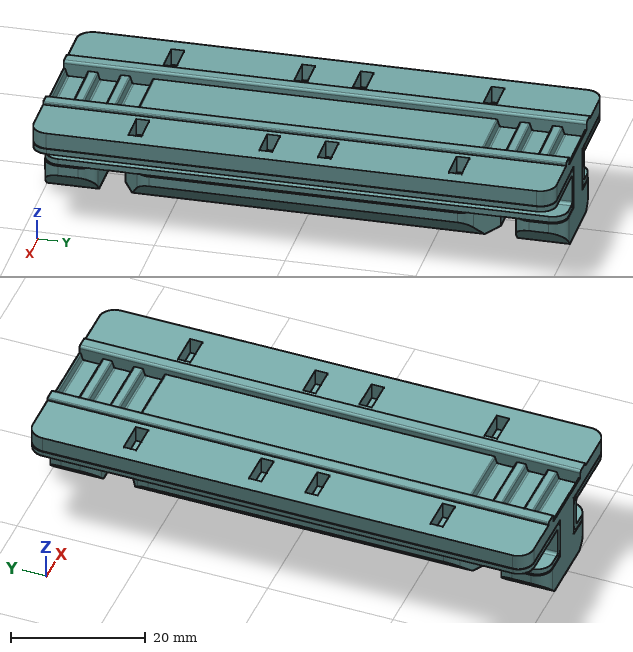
import cadquery as cq
import math

length = 80.0
plate_width = 32.0
total_height = 15.0
corner_radius = 2.5

foot_top = 5.0
plate_bottom = 11.9
plate_top = 14.6
channel_floor = 13.8

rail_outer = 7.5
rail_inner = 5.4
rail_outer_round = 0.2
rail_inner_round = 0.4

groove_count = 3
groove_pitch = 5.0
groove_width = 3.5
groove_depth = 1.2
groove_wall_angle = 73.0
groove_round = 0.2
groove_inset = 0.2

slot_length = 5.0
slot_width = 2.0
slot_x = 11.0
slot_rows = (4.5, 24.5)

web_half = 2.8
foot_half = 8.5
foot_chamfer = 3.4
end_block_length = 8.0
nose_tip = 28.7
nose_half = 2.1
nose_angle = 60.0

liner_wall = 1.0
liner_inner_round = 0.5
liner_inset = 0.2
liner_foot_gap = 0.2


def plate():
    """Flat plate with rounded plan corners."""
    return (
        cq.Workplane("XY", origin=(0, 0, plate_bottom))
        .rect(plate_width, length)
        .extrude(plate_top - plate_bottom)
        .edges("|Z")
        .fillet(corner_radius)
    )


def rail(side):
    """Raised rail with rounded top edges; side is +1 or -1 in X."""
    width = rail_outer - rail_inner
    height = total_height - channel_floor
    bar = cq.Workplane("XY").box(width, length, height, centered=(True, True, False))
    bar = bar.edges("|Y and >Z and >X").fillet(rail_outer_round)
    bar = bar.edges("|Y and >Z and <X").fillet(rail_inner_round)
    bar = bar.translate(((rail_outer + rail_inner) / 2, 0, channel_floor))
    return bar if side > 0 else bar.mirror("YZ")


def channel():
    """Cutter that opens the space between the rails through the plate."""
    return (
        cq.Workplane("XY", origin=(0, 0, plate_bottom))
        .rect(2 * rail_inner, length)
        .extrude(total_height - plate_bottom)
    )


def grip_groove(y_centre):
    """Cutter for one groove with sloping walls across the channel floor."""
    wall_run = groove_depth / math.tan(math.radians(groove_wall_angle))
    half_top = groove_width / 2
    half_bottom = half_top - wall_run
    bottom = channel_floor - groove_depth
    return (
        cq.Workplane("YZ")
        .polyline([
            (y_centre - half_top, channel_floor),
            (y_centre - half_bottom, bottom),
            (y_centre + half_bottom, bottom),
            (y_centre + half_top, channel_floor),
        ])
        .close()
        .extrude(rail_inner, both=True)
    )


def channel_base():
    """Floor of the channel with the rounded grip grooves across both ends."""
    blank_length = length + 2 * groove_pitch
    base = (
        cq.Workplane("XY", origin=(0, 0, plate_bottom))
        .rect(2 * rail_inner, blank_length)
        .extrude(channel_floor - plate_bottom)
    )
    outermost_y = (length - groove_width) / 2 - groove_inset
    for end in (-1, 1):
        for index in range(groove_count):
            base = base.cut(grip_groove(end * (outermost_y - index * groove_pitch)))
    within_length = cq.selectors.BoxSelector(
        (-rail_inner, -length / 2, 0),
        (rail_inner, length / 2, total_height),
    )
    base = base.edges("|X").edges(within_length).fillet(groove_round)
    return base.intersect(channel())


def slots():
    """Cutters for the marker slots, four on each side."""
    rows = [sign * row for row in slot_rows for sign in (-1, 1)]
    slot_centres = [(side * slot_x, row) for side in (-1, 1) for row in rows]
    return (
        cq.Workplane("XY", origin=(0, 0, plate_bottom))
        .pushPoints(slot_centres)
        .rect(slot_length, slot_width)
        .extrude(plate_top - plate_bottom)
    )


def web():
    """Upright web joining the plate to the foot."""
    return (
        cq.Workplane("XY", origin=(0, 0, foot_top))
        .rect(2 * web_half, length)
        .extrude(plate_bottom - foot_top)
    )


def foot():
    """Two end blocks and a middle foot with tapered noses, all chamfered below."""
    nose_run = (foot_half - nose_half) / math.tan(math.radians(nose_angle))
    shoulder = nose_tip - nose_run
    middle = (
        cq.Workplane("XY")
        .polyline([
            (-nose_half, -nose_tip),
            (nose_half, -nose_tip),
            (foot_half, -shoulder),
            (foot_half, shoulder),
            (nose_half, nose_tip),
            (-nose_half, nose_tip),
            (-foot_half, shoulder),
            (-foot_half, -shoulder),
        ])
        .close()
        .extrude(foot_top)
        .edges("|Z and (>X or <X)")
        .fillet(corner_radius)
    )
    block_y = (length - end_block_length) / 2
    end_blocks = (
        cq.Workplane("XY")
        .pushPoints([(0, -block_y), (0, block_y)])
        .rect(2 * foot_half, end_block_length)
        .extrude(foot_top)
        .edges("|Z")
        .fillet(corner_radius)
    )
    envelope = (
        cq.Workplane("XY")
        .box(2 * foot_half, length, foot_top, centered=(True, True, False))
        .edges("|Y and <Z")
        .chamfer(foot_chamfer)
    )
    return middle.union(end_blocks).intersect(envelope)


def carrier():
    """Plate, rails, grooved channel, web and foot as one solid."""
    body = plate().union(rail(-1)).union(rail(1))
    body = body.cut(channel()).union(channel_base())
    return body.cut(slots()).union(web()).union(foot())


def rounded_strip(edge_x, bottom, thickness):
    """Flat strip from the web face out to edge_x, with its two outer corners rounded."""
    return (
        cq.Workplane("XY")
        .box(edge_x - web_half, length, thickness, centered=(False, True, False))
        .edges("|Z and >X")
        .fillet(corner_radius)
        .translate((web_half, 0, bottom))
    )


def liner(side):
    """C-shaped liner between plate and foot; side is +1 or -1 in X."""
    bottom = foot_top + liner_foot_gap
    wall_face = web_half + liner_wall
    lip = rounded_strip(foot_half - liner_inset, bottom, liner_wall)
    flange = rounded_strip(plate_width / 2 - liner_inset, plate_bottom - liner_wall, liner_wall)
    wall = (
        cq.Workplane("XY")
        .box(liner_wall, length, plate_bottom - bottom, centered=(False, True, False))
        .translate((web_half, 0, bottom))
    )
    body = wall.union(lip).union(flange)
    for corner_z in (bottom + liner_wall, plate_bottom - liner_wall):
        inner_corner = cq.selectors.NearestToPointSelector((wall_face, 0, corner_z))
        body = body.edges(inner_corner).fillet(liner_inner_round)
    body = body.edges("|Y and <X").fillet(liner_inner_round + liner_wall)
    return body if side > 0 else body.mirror("YZ")


main_carrier = carrier()
liners = [liner(side) for side in (-1, 1)]

result = cq.Compound.makeCompound([main_carrier.val(), *[body.val() for body in liners]])